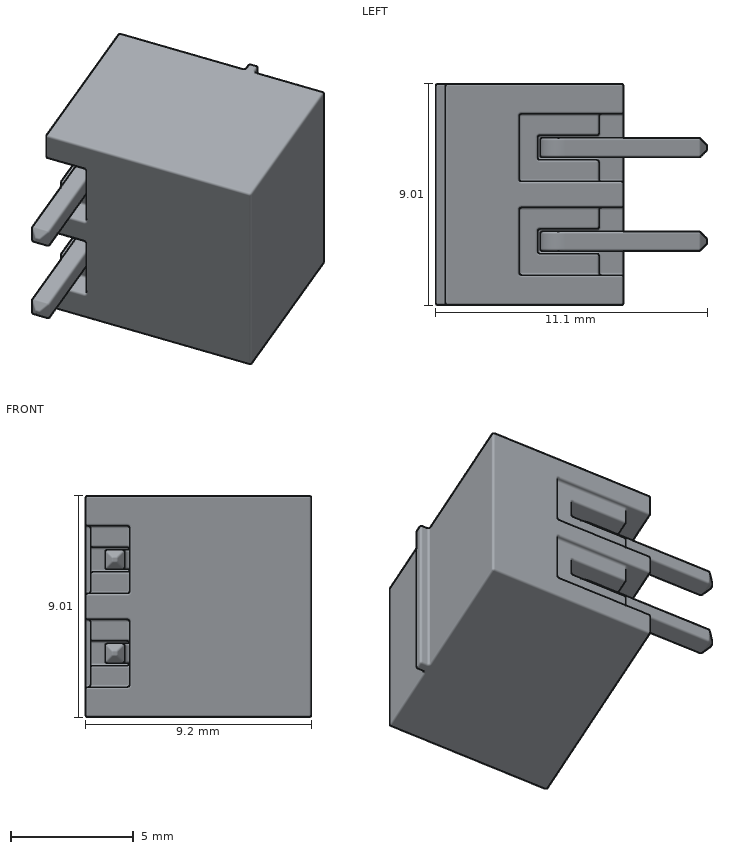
import cadquery as cq

BODY_X = 9.2
BODY_Y = 7.25
BODY_Z = 9.01
EDGE_RADIUS = 0.098

RIB_WIDTH = 0.42
RIB_HEIGHT = 0.4
RIB_CENTER_X = 5.84

PIN_PITCH = 3.81
STATION_HEIGHTS = [BODY_Z / 2 - PIN_PITCH / 2, BODY_Z / 2 + PIN_PITCH / 2]

POCKET_X = 1.8
RECESS_HEIGHT = 2.75
RECESS_DEPTH = 0.21
RECESS_LENGTH = 4.25
FRONT_POCKET_LENGTH = 1.0
SLOT_HEIGHT = 1.0
SLOT_LENGTH = 3.5

PIN_SIZE = 0.8
PIN_PROJECTION = 3.4
PIN_EDGE_RADIUS = 0.1
BEND_INNER_RADIUS = 0.2
BEND_OUTER_RADIUS = BEND_INNER_RADIUS + PIN_SIZE
PIN_LEFT_X = POCKET_X - BEND_OUTER_RADIUS
PIN_BEND_Y = 2.4
PIN_EMBED = 0.5
TIP_CHAMFER = 0.3


def box_at(x_min, y_min, z_mid, x_size, y_size, z_size):
    """Box placed by its left and front sides and its middle height."""
    box = cq.Workplane("XY").box(x_size, y_size, z_size, centered=(False, False, True))
    return box.translate((x_min, y_min, z_mid))


def make_cavity(z_mid):
    """Side recess, deeper front pocket and pin slot, all open to the left."""
    recess = box_at(0, 0, z_mid, RECESS_DEPTH, RECESS_LENGTH, RECESS_HEIGHT)
    front_pocket = box_at(0, 0, z_mid, POCKET_X, FRONT_POCKET_LENGTH, RECESS_HEIGHT)
    slot = box_at(0, 0, z_mid, POCKET_X, SLOT_LENGTH, SLOT_HEIGHT)
    return recess.union(front_pocket).union(slot).clean()


def make_housing():
    """Block with its rib and cavities, every edge rounded."""
    housing = box_at(0, 0, BODY_Z / 2, BODY_X, BODY_Y, BODY_Z)
    rib_left = RIB_CENTER_X - RIB_WIDTH / 2
    rib_length = BODY_Y + RIB_HEIGHT
    housing = housing.union(box_at(rib_left, 0, BODY_Z / 2, RIB_WIDTH, rib_length, BODY_Z))
    for z_mid in STATION_HEIGHTS:
        housing = housing.cut(make_cavity(z_mid))
    return housing.edges().fillet(EDGE_RADIUS)


def make_pin(z_mid):
    """Bent square pin with a chamfered tip and rounded edges."""
    mid_x = PIN_LEFT_X + PIN_SIZE / 2
    bend_mid_radius = BEND_INNER_RADIUS + PIN_SIZE / 2
    leg_y = PIN_BEND_Y + bend_mid_radius
    path = (
        cq.Workplane("XY")
        .moveTo(mid_x, -PIN_PROJECTION)
        .lineTo(mid_x, PIN_BEND_Y)
        .radiusArc((POCKET_X, leg_y), bend_mid_radius)
        .lineTo(POCKET_X + PIN_EMBED, leg_y)
    )
    start_plane = cq.Workplane("XZ", origin=(mid_x, -PIN_PROJECTION, 0))
    pin = start_plane.rect(PIN_SIZE, PIN_SIZE).sweep(path)
    pin = pin.faces("<Y").chamfer(TIP_CHAMFER)

    tip_end = TIP_CHAMFER - PIN_PROJECTION
    tip_region = cq.selectors.BoxSelector(
        (mid_x - PIN_SIZE, -PIN_PROJECTION - TIP_CHAMFER, -PIN_SIZE),
        (mid_x + PIN_SIZE, tip_end + TIP_CHAMFER, PIN_SIZE),
    )
    shank_edges = cq.selectors.ParallelDirSelector(cq.Vector(0, 1, 0))
    pin = pin.edges(tip_region + shank_edges).fillet(PIN_EDGE_RADIUS)
    return pin.translate((0, 0, z_mid))


result = make_housing()
for station_height in STATION_HEIGHTS:
    result = result.union(make_pin(station_height))